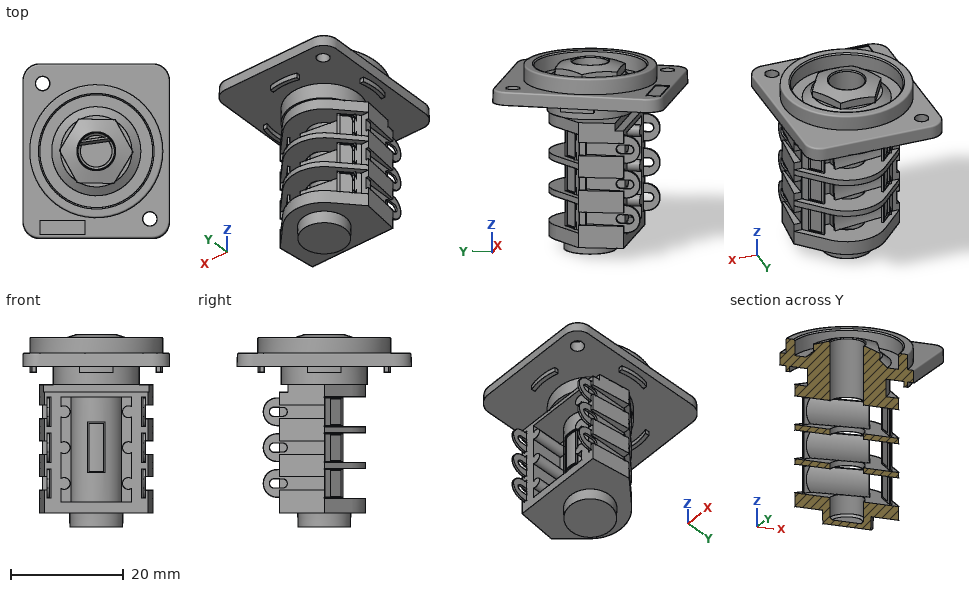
import cadquery as cq
import math


PLATE_X = 26.0
PLATE_Y = 31.0
PLATE_H = 2.4
PLATE_CORNER_R = 3.0
PLATE_EDGE_R = 0.3
PLATE_END_DRAFT = 0.12
SCREW_HOLE_D = 2.5
SCREW_X = 9.5
SCREW_Y = 12.0
LABEL_X = 8.0
LABEL_Y = 2.5
LABEL_CENTER_X = -6.0
LABEL_CENTER_Y = -13.5
LABEL_DEPTH = 0.15

COLLAR_D = 23.6
COLLAR_BORE_D = 20.0
COLLAR_TOP = 5.2
COLLAR_FLOOR = 2.22
COLLAR_OUTER_R = 0.3
COLLAR_INNER_CHAMFER = 0.25
TAB_INNER_D = 22.05
TAB_WIDTH = 6.0
TAB_H = 1.0

WASHER_D = 15.8
WASHER_TOP_D = 12.65
WASHER_TOP = 3.5
NUT_FLATS = 11.3
NUT_TOP = 5.73
NUT_TOP_D = 6.9
NUT_CONE_ANGLE = 18.0
NUT_TURN = -1.2

NECK_D = 15.3
BODY_TOP = -3.17
BODY_BOTTOM = -25.96
BODY_HALF_WIDTH = 10.07
FRONT_HALF_WIDTH = 9.18
FRONT_Y = -7.96
BACK_R = 7.35
GROOVE_STEP_Y = -1.2
NOTCH_H = 1.33
NOTCH_DEPTH = 1.5

STATION_COUNT = 3
STATION_PITCH = 6.35
FIRST_STATION_Z = -8.0
STATIONS = [FIRST_STATION_Z - i * STATION_PITCH for i in range(STATION_COUNT)]
BAY_H = 5.25
GROOVE_H = 2.4
GROOVE_HALF_WIDTH = 9.55

WINDOW_HALF_WIDTH = 6.23
WINDOW_TOP = -5.42
WINDOW_BOTTOM = -24.0
WINDOW_BACK_Y = -1.5
BARREL_D = 9.45
PEG_R = 1.05
PEG_X = 5.7
BARREL_LABEL_WIDTH = 3.1
BARREL_LABEL_H = 9.0
BARREL_LABEL_Z = -14.3
BARREL_LABEL_BORDER = 0.25
BARREL_LABEL_RISE = 0.25

TOTAL_H = 34.17
STUB_BOTTOM = NUT_TOP - TOTAL_H
STUB_TOP_D = 9.5
STUB_BOTTOM_D = 9.35
BORE_D = 6.45
BORE_MOUTH_CHAMFER = 0.2
BORE_FLOOR_D = 5.6
STUB_FLOOR = 1.0

STRIP_OUTER_X = 8.72
STRIP_T = 0.4
STRIP_H = 4.95
SLOT_WIDTH = 0.7
SLOT_H = 5.2
LUG_END_Y = -10.82
EYE_D = 1.6
EYE_LENGTH = 3.15
EYE_END_Y = -9.7
CONTACT_BACK_Y = 3.2
STRIP_POCKET_Y = (1.1, 2.95)
STRIP_POCKET_H = 4.55
LEAF_BOW = 0.5
LEAF_LEFT = (-8.0, 0.5)
LEAF_RIGHT = (3.4, 2.1)


def cylinder(diameter, bottom, top):
    return cq.Workplane("XY").workplane(offset=bottom).circle(diameter / 2).extrude(top - bottom)


def cone(bottom_d, top_d, bottom, top):
    stub = cq.Workplane("XY").workplane(offset=bottom).circle(bottom_d / 2)
    return stub.workplane(offset=top - bottom).circle(top_d / 2).loft()


def block(x0, x1, y0, y1, z0, z1):
    return cq.Workplane("XY").box(x1 - x0, y1 - y0, z1 - z0, centered=False).translate((x0, y0, z0))


def mirror_x(shape):
    return shape.mirror("YZ")


def make_plate():
    top_half = PLATE_Y / 2 - PLATE_END_DRAFT
    plate = (
        cq.Workplane("YZ")
        .polyline([(-PLATE_Y / 2, 0), (PLATE_Y / 2, 0), (top_half, PLATE_H), (-top_half, PLATE_H)])
        .close()
        .extrude(PLATE_X / 2, both=True)
    )
    plate = plate.edges("(not #Z) and (not |X) and (not |Y)").fillet(PLATE_CORNER_R)
    plate = plate.faces(">Z").edges().fillet(PLATE_EDGE_R)
    screws = cq.Workplane("XY").pushPoints([(-SCREW_X, SCREW_Y), (SCREW_X, -SCREW_Y)])
    plate = plate.cut(screws.circle(SCREW_HOLE_D / 2).extrude(PLATE_H))
    label = (
        cq.Workplane("XY")
        .workplane(offset=PLATE_H - LABEL_DEPTH)
        .center(LABEL_CENTER_X, LABEL_CENTER_Y)
        .rect(LABEL_X, LABEL_Y)
        .extrude(LABEL_DEPTH)
    )
    return plate.cut(label)


def make_collar_bore():
    return cylinder(COLLAR_BORE_D, COLLAR_FLOOR, COLLAR_TOP)


def make_collar():
    collar = cylinder(COLLAR_D, COLLAR_FLOOR, COLLAR_TOP).faces(">Z").edges().fillet(COLLAR_OUTER_R)
    collar = collar.cut(make_collar_bore())
    mouth_d = COLLAR_BORE_D + 2 * COLLAR_INNER_CHAMFER
    return collar.cut(cone(COLLAR_BORE_D, mouth_d, COLLAR_TOP - COLLAR_INNER_CHAMFER, COLLAR_TOP))


def make_tabs():
    ring = cylinder(COLLAR_D, -TAB_H, 0).cut(cylinder(TAB_INNER_D, -TAB_H, 0))
    cross = cq.Workplane("XY").workplane(offset=-TAB_H).rect(COLLAR_D, TAB_WIDTH).extrude(TAB_H)
    cross = cross.union(cross.rotate((0, 0, 0), (0, 0, 1), 90))
    return ring.intersect(cross)


def make_nut():
    washer = cone(WASHER_D, WASHER_TOP_D, COLLAR_FLOOR, WASHER_TOP)
    across_corners = NUT_FLATS / math.cos(math.pi / 6)
    hexagon = (
        cq.Workplane("XY")
        .workplane(offset=WASHER_TOP)
        .polygon(6, across_corners)
        .extrude(NUT_TOP - WASHER_TOP)
        .rotate((0, 0, 0), (0, 0, 1), NUT_TURN)
    )
    cone_h = NUT_TOP - WASHER_TOP
    cone_base_d = NUT_TOP_D + 2 * cone_h / math.tan(math.radians(NUT_CONE_ANGLE))
    return washer.union(hexagon.intersect(cone(cone_base_d, NUT_TOP_D, WASHER_TOP, NUT_TOP)))


def make_body_blank():
    tangent_angle = math.acos(BACK_R / BODY_HALF_WIDTH)
    tangent_x = BACK_R * math.cos(tangent_angle)
    tangent_y = BACK_R * math.sin(tangent_angle)
    blank = (
        cq.Workplane("XY")
        .workplane(offset=BODY_BOTTOM)
        .moveTo(-FRONT_HALF_WIDTH, FRONT_Y)
        .lineTo(FRONT_HALF_WIDTH, FRONT_Y)
        .lineTo(BODY_HALF_WIDTH, 0)
        .lineTo(tangent_x, tangent_y)
        .threePointArc((0, BACK_R), (-tangent_x, tangent_y))
        .lineTo(-BODY_HALF_WIDTH, 0)
        .close()
        .extrude(BODY_TOP - BODY_BOTTOM)
    )
    notch = block(
        -BODY_HALF_WIDTH, BODY_HALF_WIDTH,
        FRONT_Y, FRONT_Y + NOTCH_DEPTH,
        BODY_TOP - NOTCH_H, BODY_TOP,
    )
    return blank.cut(notch)


def cut_station(body, z):
    """Open the rear bay, the side grooves and the lug slots of one contact station."""
    bay = block(-BODY_HALF_WIDTH, BODY_HALF_WIDTH, 0, BACK_R, z - BAY_H / 2, z + BAY_H / 2)
    groove_z = (z - GROOVE_H / 2, z + GROOVE_H / 2)
    shallow = block(-BODY_HALF_WIDTH, -GROOVE_HALF_WIDTH, FRONT_Y, 0, *groove_z)
    deep = block(-BODY_HALF_WIDTH, -STRIP_OUTER_X, FRONT_Y, GROOVE_STEP_Y, *groove_z)
    slot = block(
        -STRIP_OUTER_X, -STRIP_OUTER_X + SLOT_WIDTH,
        FRONT_Y, GROOVE_STEP_Y,
        z - SLOT_H / 2, z + SLOT_H / 2,
    )
    left_side = shallow.union(deep).union(slot)
    right_groove = block(STRIP_OUTER_X, BODY_HALF_WIDTH, FRONT_Y, 0, *groove_z)
    right_side = right_groove.union(mirror_x(slot))
    return body.cut(bay).cut(left_side).cut(right_side)


def make_barrel():
    barrel = cylinder(BARREL_D, WINDOW_BOTTOM, WINDOW_TOP)
    front_half = block(-BARREL_D, BARREL_D, -BARREL_D, 0, WINDOW_BOTTOM, WINDOW_TOP)
    barrel = barrel.intersect(front_half)
    half_width = BARREL_LABEL_WIDTH / 2
    half_h = BARREL_LABEL_H / 2
    frame = block(-half_width, half_width, -BARREL_D, 0, BARREL_LABEL_Z - half_h, BARREL_LABEL_Z + half_h)
    inner_half_width = half_width - BARREL_LABEL_BORDER
    inner_half_h = half_h - BARREL_LABEL_BORDER
    frame = frame.cut(
        block(
            -inner_half_width, inner_half_width,
            -BARREL_D, 0,
            BARREL_LABEL_Z - inner_half_h, BARREL_LABEL_Z + inner_half_h,
        )
    )
    frame = frame.intersect(cylinder(BARREL_D + 2 * BARREL_LABEL_RISE, WINDOW_BOTTOM, WINDOW_TOP))
    return barrel.union(frame)


def make_peg(z):
    peg = cq.Workplane("XZ").center(-PEG_X, z).circle(PEG_R).extrude(-FRONT_Y)
    wall_side = block(-PEG_X - PEG_R, -WINDOW_HALF_WIDTH, FRONT_Y, 0, z - PEG_R, z + PEG_R)
    return peg.cut(wall_side)


def make_body():
    body = make_body_blank()
    window = block(
        -WINDOW_HALF_WIDTH, WINDOW_HALF_WIDTH, FRONT_Y, WINDOW_BACK_Y, WINDOW_BOTTOM, WINDOW_TOP
    )
    body = body.cut(window).union(make_barrel())
    for z in STATIONS:
        body = cut_station(body, z)
        peg = make_peg(z)
        body = body.union(peg).union(mirror_x(peg))
    return body.union(cone(STUB_BOTTOM_D, STUB_TOP_D, STUB_BOTTOM, BODY_BOTTOM))


def cut_bore(part):
    floor_z = STUB_BOTTOM + STUB_FLOOR
    floor_cone_h = (BORE_D - BORE_FLOOR_D) / 2
    bore = cylinder(BORE_D, floor_z + floor_cone_h, NUT_TOP)
    bore = bore.union(cone(BORE_FLOOR_D, BORE_D, floor_z, floor_z + floor_cone_h))
    mouth_d = BORE_D + 2 * BORE_MOUTH_CHAMFER
    return part.cut(bore).cut(cone(BORE_D, mouth_d, NUT_TOP - BORE_MOUTH_CHAMFER, NUT_TOP))


def make_lug(z):
    """Left solder lug: a strip in the YZ plane with a round end and an eye."""
    center_y = LUG_END_Y + STRIP_H / 2
    eye_y = EYE_END_Y + EYE_LENGTH / 2
    lug = (
        cq.Workplane("YZ")
        .workplane(offset=-STRIP_OUTER_X)
        .moveTo(0, z - STRIP_H / 2)
        .lineTo(center_y, z - STRIP_H / 2)
        .threePointArc((LUG_END_Y, z), (center_y, z + STRIP_H / 2))
        .lineTo(0, z + STRIP_H / 2)
        .close()
        .extrude(STRIP_T)
    )
    eye = cq.Workplane("YZ").workplane(offset=-STRIP_OUTER_X).center(eye_y, z)
    return lug.cut(eye.slot2D(EYE_LENGTH, EYE_D).extrude(STRIP_T))


def place_between(shape, start, end, z):
    """Move a shape lying along X at the origin to the line between two XY points."""
    turn = math.degrees(math.atan2(end[1] - start[1], end[0] - start[0]))
    middle = ((start[0] + end[0]) / 2, (start[1] + end[1]) / 2, z)
    return shape.rotate((0, 0, 0), (0, 0, 1), turn).translate(middle)


def make_strip(start, end, z):
    """Flat upright spring strip between two XY points."""
    return place_between(cq.Workplane("XY").box(math.dist(start, end), STRIP_T, STRIP_H), start, end, z)


def make_bowed_leaf(start, end, z):
    """Upright strip between two XY points, bowed so that its middle stands toward -Y."""
    near_y = -STRIP_T / 2
    far_y = STRIP_T / 2
    half_h = STRIP_H / 2
    leaf = (
        cq.Workplane("YZ")
        .moveTo(near_y + LEAF_BOW, -half_h)
        .threePointArc((near_y, 0), (near_y + LEAF_BOW, half_h))
        .lineTo(far_y + LEAF_BOW, half_h)
        .threePointArc((far_y, 0), (far_y + LEAF_BOW, -half_h))
        .close()
        .extrude(math.dist(start, end) / 2, both=True)
    )
    return place_between(leaf, start, end, z)


def make_contacts(z):
    """Both lugs, the pocketed rear strips and the leaf that crosses the plug bore."""
    root = (-STRIP_OUTER_X + STRIP_T / 2, 0)
    flank_slope = math.tan(math.acos(BACK_R / BODY_HALF_WIDTH))
    bend = (root[0] + CONTACT_BACK_Y * flank_slope, CONTACT_BACK_Y)
    pocket = block(
        -BODY_HALF_WIDTH, 0, *STRIP_POCKET_Y, z - STRIP_POCKET_H / 2, z + STRIP_POCKET_H / 2
    )
    strip = make_strip(root, bend, z)
    pocket = pocket.cut(strip.translate((STRIP_T / 2, -STRIP_T / 2, 0)))
    side = make_lug(z).union(strip.cut(pocket))
    return side.union(mirror_x(side)).union(make_bowed_leaf(LEAF_LEFT, LEAF_RIGHT, z))


result = make_plate().cut(make_collar_bore()).union(make_collar()).union(make_tabs()).union(make_nut())
result = result.union(cylinder(NECK_D, BODY_TOP, 0)).union(make_body())
result = cut_bore(result)
for station_z in STATIONS:
    result = result.union(make_contacts(station_z))